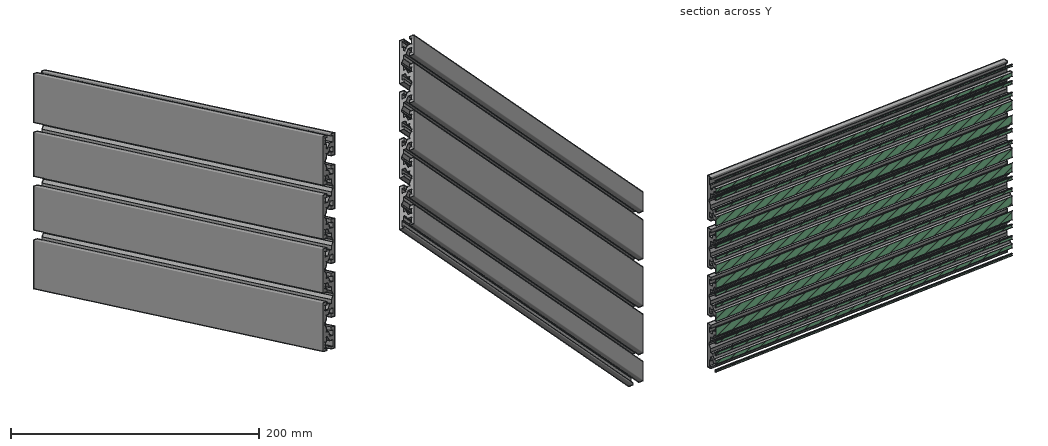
import cadquery as cq

LENGTH = 300.0
THICKNESS = 15.0
HEIGHT = 180.0

SLOT_PITCH = 22.5
BACK_SLOT_STEPS = (-3, -1, 1, 3)
FRONT_SLOT_STEPS = (-2, 0, 2)

OPENING_HALF = 4.0
HOOK_HALF = 7.0
UNDERCUT_HALF = 11.3
LIP_DEPTH = 4.7
SKIN = 2.7
UNDERCUT_FLOOR = 6.0
SHOULDER_START = 8.1
SLOT_FLOOR = 10.6
TIP_DEPTH = 12.5
TIP_HALF = 0.85
TIP_START_HALF = 3.7

END_OPENING_HALF = THICKNESS / 2 - LIP_DEPTH
END_CAVITY_HALF = THICKNESS / 2 - SKIN
END_LIP = 1.9
END_FLOOR = 7.3
NOTCH_TIP_DEPTH = 11.5
NOTCH_WALL_DEPTH = 10.8
NOTCH_BACK_Y = 0.9
NOTCH_TIP_Y = -2.3
NOTCH_FRONT_Y = -3.2

EDGE_RADIUS = 0.5


def extrude_section(points):
    """Prism of a closed (y, z) outline over the whole length."""
    section = cq.Workplane("YZ").workplane(offset=-LENGTH / 2)
    return section.polyline(points).close().extrude(LENGTH)


def face_slot(side, center_z):
    """Hooked slot with a stepped floor that narrows to a blunt tip.

    Side is +1 for the back face and -1 for the front face.
    """
    half_outline = [
        (0, OPENING_HALF),
        (LIP_DEPTH, OPENING_HALF),
        (LIP_DEPTH, HOOK_HALF),
        (SKIN, HOOK_HALF),
        (SKIN, UNDERCUT_HALF),
        (UNDERCUT_FLOOR, UNDERCUT_HALF),
        (SHOULDER_START, HOOK_HALF),
        (SLOT_FLOOR, HOOK_HALF),
        (SLOT_FLOOR, TIP_START_HALF),
        (TIP_DEPTH, TIP_HALF),
    ]
    outline = half_outline + [(depth, -half) for depth, half in reversed(half_outline)]
    return extrude_section([(side * (THICKNESS / 2 - depth), center_z + half) for depth, half in outline])


def end_slot(end):
    """T-slot with an offset notch in its floor; end is +1 for the top edge, -1 for the bottom."""
    outline = [
        (END_OPENING_HALF, 0),
        (END_OPENING_HALF, END_LIP),
        (END_CAVITY_HALF, END_LIP),
        (END_CAVITY_HALF, END_FLOOR),
        (NOTCH_BACK_Y, END_FLOOR),
        (NOTCH_TIP_Y, NOTCH_TIP_DEPTH),
        (NOTCH_FRONT_Y, NOTCH_WALL_DEPTH),
        (NOTCH_FRONT_Y, END_FLOOR),
        (-END_CAVITY_HALF, END_FLOOR),
        (-END_CAVITY_HALF, END_LIP),
        (-END_OPENING_HALF, END_LIP),
        (-END_OPENING_HALF, 0),
    ]
    return extrude_section([(y, end * (HEIGHT / 2 - depth)) for y, depth in outline])


result = cq.Workplane("XY").box(LENGTH, THICKNESS, HEIGHT)
for step in BACK_SLOT_STEPS:
    result = result.cut(face_slot(1, step * SLOT_PITCH))
for step in FRONT_SLOT_STEPS:
    result = result.cut(face_slot(-1, step * SLOT_PITCH))
for end in (1, -1):
    result = result.cut(end_slot(end))

result = result.faces(">Y or <Y or >Z or <Z").edges("|X").fillet(EDGE_RADIUS)